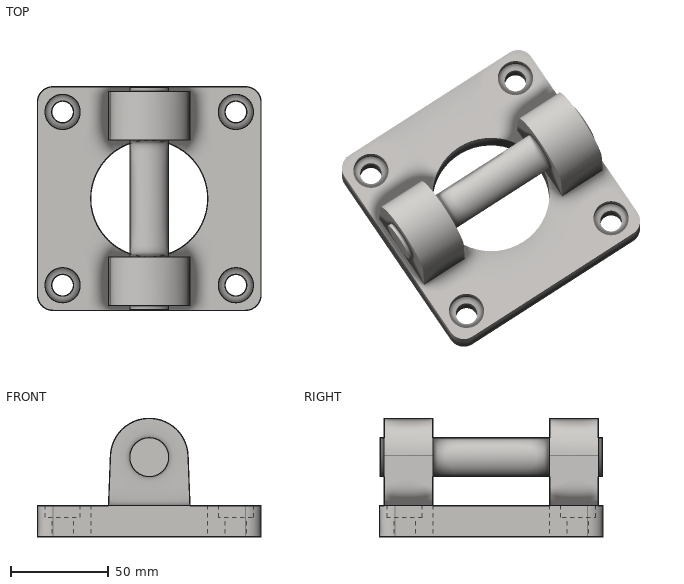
import cadquery as cq
import math

plate_side = 115.0
plate_thickness = 16.0
corner_radius = 8.0
bore_diameter = 60.0

hole_offset = 44.5
hole_diameter = 11.0
counterbore_diameter = 18.0
counterbore_depth = 6.0

total_height = 61.0
lug_radius = 20.0
lug_base_width = 42.0
lug_inner_y = 30.0
lug_outer_y = 55.0
pin_diameter = 20.0
pin_length = 114.1
pin_height = total_height - lug_radius


def make_plate():
    """Rounded square plate with a central bore and four counterbored holes."""
    plate = (
        cq.Workplane("XY")
        .rect(plate_side, plate_side)
        .extrude(plate_thickness)
        .edges("|Z")
        .fillet(corner_radius)
    )
    plate = plate.faces(">Z").workplane().hole(bore_diameter)
    return (
        plate.faces(">Z")
        .workplane()
        .rect(2 * hole_offset, 2 * hole_offset, forConstruction=True)
        .vertices()
        .cboreHole(hole_diameter, counterbore_diameter, counterbore_depth)
    )


def make_lug():
    """Lug on the -Y side: straight flanks run tangent into the round top."""
    half_base = lug_base_width / 2
    rise = pin_height - plate_thickness
    tangent_angle = math.acos(lug_radius / math.hypot(half_base, rise)) - math.atan2(rise, half_base)
    tangent_x = lug_radius * math.cos(tangent_angle)
    tangent_z = pin_height + lug_radius * math.sin(tangent_angle)
    return (
        cq.Workplane("XZ", origin=(0, -lug_inner_y, 0))
        .moveTo(-half_base, plate_thickness)
        .lineTo(half_base, plate_thickness)
        .lineTo(tangent_x, tangent_z)
        .threePointArc((0, total_height), (-tangent_x, tangent_z))
        .close()
        .extrude(lug_outer_y - lug_inner_y)
    )


def make_pin():
    """Round pin through both lugs, standing slightly proud of their outer faces."""
    return (
        cq.Workplane("XZ", origin=(0, 0, pin_height))
        .circle(pin_diameter / 2)
        .extrude(pin_length / 2, both=True)
    )


lug = make_lug()
result = make_plate().union(lug).union(lug.mirror("XZ")).union(make_pin())